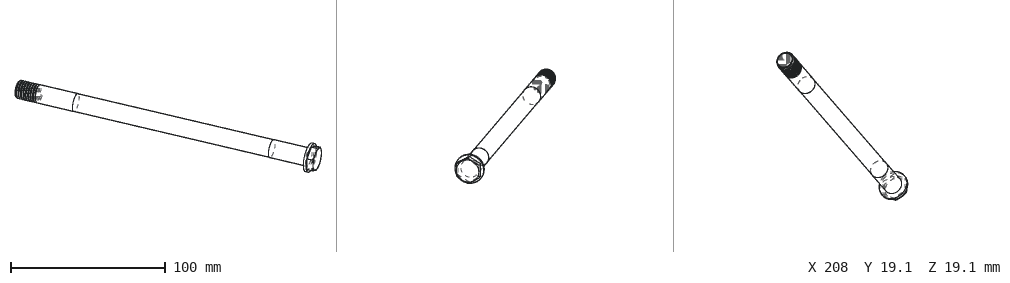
import cadquery as cq
import math

total_length = 208.0
shank_diameter = 12.0
waist_diameter = 11.9
waist_start = 40.4
waist_end = 176.4

flange_diameter = 19.1
flange_thickness = 1.9
head_height = 6.0
hex_across_flats = 15.0
hex_chamfer_length = 0.8
hex_end_diameter = 15.0

thread_length = 14.5
thread_pitch = 1.7
thread_depth = 1.0
flank_angle = math.radians(30)
groove_root_width = 0.2
tip_chamfer_length = 1.0
tip_chamfer_depth = 1.0
crest_overshoot = 0.2
thread_start_angle = 137
tip_allowance = 10.5

shank_radius = shank_diameter / 2
shank_length = total_length - head_height


def rod(start, end, diameter):
    """Cylinder on the X axis between two stations."""
    return cq.Workplane("YZ", origin=(start, 0, 0)).circle(diameter / 2).extrude(end - start)


def make_thread_groove():
    """Right-hand helical V groove that starts beyond the tip."""
    root_radius = shank_radius - thread_depth
    outer_radius = shank_radius + crest_overshoot
    half_root = groove_root_width / 2
    half_mouth = half_root + (outer_radius - root_radius) * math.tan(flank_angle)
    corners = [
        (root_radius, -half_root),
        (outer_radius, -half_mouth),
        (outer_radius, half_mouth),
        (root_radius, half_root),
    ]
    groove_length = thread_length + thread_pitch
    helices = [
        cq.Wire.makeHelix(thread_pitch, groove_length, radius, center=cq.Vector(0, 0, height))
        for radius, height in corners
    ]
    faces = [
        cq.Face.makeRuledSurface(helices[index - 1], helices[index])
        for index in range(len(helices))
    ]
    for ends in (
        [helix.startPoint() for helix in helices],
        [helix.endPoint() for helix in helices],
    ):
        faces.append(cq.Face.makeFromWires(cq.Wire.makePolygon(ends, close=True)))
    groove = cq.Solid.makeSolid(cq.Shell.makeShell(faces))
    turned = groove.rotate(cq.Vector(0, 0, 0), cq.Vector(0, 1, 0), 90)
    placed = turned.translate(cq.Vector(-thread_pitch, 0, 0))
    return cq.Workplane(obj=placed).rotate((0, 0, 0), (1, 0, 0), thread_start_angle)


def make_tip_envelope():
    """Cone-ended body, wider than the shank, that bevels the threaded end."""
    bevel_slope = tip_chamfer_depth / tip_chamfer_length
    envelope_radius = flange_diameter / 2
    tip_radius = shank_radius - tip_chamfer_depth
    return (
        cq.Workplane("XY")
        .lineTo(0, tip_radius)
        .lineTo((envelope_radius - tip_radius) / bevel_slope, envelope_radius)
        .lineTo(waist_start, envelope_radius)
        .lineTo(waist_start, 0)
        .close()
        .revolve(360, (0, 0, 0), (1, 0, 0))
    )


def make_shank():
    blank = rod(-tip_allowance, waist_start, shank_diameter).cut(make_thread_groove())
    tip = blank.intersect(make_tip_envelope())
    waist = rod(waist_start, waist_end, waist_diameter)
    neck = rod(waist_end, shank_length, shank_diameter)
    return tip.union(waist).union(neck)


def make_head():
    flange_end = shank_length + flange_thickness
    flange = rod(shank_length, flange_end, flange_diameter)
    corner_diameter = hex_across_flats / math.cos(math.pi / 6)
    hexagon = (
        cq.Workplane("YZ", origin=(flange_end, 0, 0))
        .transformed(rotate=(0, 0, 90))
        .polygon(6, corner_diameter)
        .extrude(total_length - flange_end)
    )
    envelope = (
        cq.Workplane("XY")
        .moveTo(shank_length, 0)
        .lineTo(shank_length, corner_diameter / 2)
        .lineTo(total_length - hex_chamfer_length, corner_diameter / 2)
        .lineTo(total_length, hex_end_diameter / 2)
        .lineTo(total_length, 0)
        .close()
        .revolve(360, (0, 0, 0), (1, 0, 0))
    )
    return flange.union(hexagon.intersect(envelope))


result = make_shank().union(make_head())